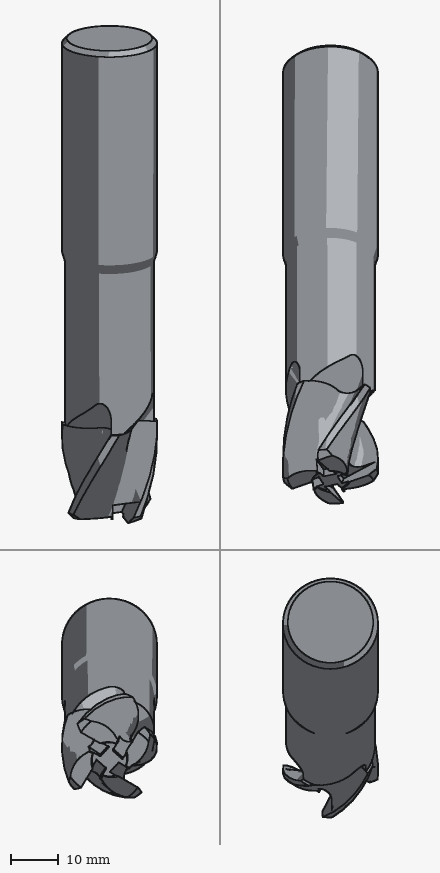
import cadquery as cq
import math

total_length = 104.0
tool_radius = 10.0
neck_radius = 9.4
shank_chamfer = 1.0
shank_bottom = 57.3
neck_top = 55.2
cutting_length = 20.0

tooth_count = 4
tooth_pitch = 360 / tooth_count
helix_angle = 30.0
twist = math.degrees(cutting_length * math.tan(math.radians(helix_angle)) / tool_radius)
land_angle = 10.4
back_angle = 20.4
back_radius = 9.0
corner_chamfer = 1.6

rake_angle = 10.0
rake_length = 2.9
gullet_radius = 2.4
gullet_sweep = 120.0

runout_height = 7.8
runout_slope = 0.71
flute_clearance = 3.1

gash_tilt = 26.5
gash_rake = 12.0
gash_width = 2.5
gash_start_radius = 1.9
gash_core_height = 1.6
gash_rise = 0.33

relief_slope = 0.2
relief_sector = 70.0

dish_radius = 4.1
dish_depth = 0.4
dish_taper = 45.0

cut_reach = 2 * tool_radius
overshoot = 1.0


def polar(radius, degrees):
    """Point in the XY plane at a radius and an angle from +X."""
    angle = math.radians(degrees)
    return cq.Vector(radius * math.cos(angle), radius * math.sin(angle), 0)


def flat(point):
    """Plane coordinates of a point."""
    return (point.x, point.y)


edge_point = polar(tool_radius, 0)
rake_end = edge_point - polar(rake_length, -rake_angle)
gullet_start_angle = 90 - rake_angle
gullet_centre = rake_end - polar(gullet_radius, gullet_start_angle)
gullet_middle = gullet_centre + polar(gullet_radius, gullet_start_angle + gullet_sweep / 2)
gullet_end = gullet_centre + polar(gullet_radius, gullet_start_angle + gullet_sweep)
back_point = polar(back_radius, back_angle - tooth_pitch)
land_end = polar(tool_radius, land_angle - tooth_pitch)


def flute_profile():
    """Cross-section removed between two teeth, open past the rim."""
    rake_out = edge_point + polar(flute_clearance, -rake_angle)
    far_corner = polar(cut_reach, -tooth_pitch / 2)
    back_out = polar(tool_radius + flute_clearance, land_angle - tooth_pitch)
    return (
        cq.Workplane("XY")
        .moveTo(rake_out.x, rake_out.y)
        .lineTo(rake_end.x, rake_end.y)
        .threePointArc(flat(gullet_middle), flat(gullet_end))
        .threePointArc(flat(back_point), flat(land_end))
        .lineTo(back_out.x, back_out.y)
        .lineTo(far_corner.x, far_corner.y)
        .close()
    )


def around_axis(shape):
    """One copy of a shape for every tooth."""
    return [shape.rotate((0, 0, 0), (0, 0, 1), i * tooth_pitch) for i in range(tooth_count)]


def undercut(shape):
    """Swing a shape about the cutting edge on +X so that it trails inwards by the gash rake."""
    return shape.rotate((tool_radius, 0, 0), (tool_radius, 0, 1), -gash_rake)


def make_gash():
    """Wedge-shaped notch in front of the cutting edge on +X, taller towards the rim."""
    lean = math.tan(math.radians(gash_tilt))
    slot = (
        cq.Workplane("YZ")
        .polyline([
            (-gash_width, -overshoot),
            (-overshoot * lean, -overshoot),
            (cut_reach * lean, cut_reach),
            (-gash_width, cut_reach),
        ])
        .close()
        .extrude(cut_reach)
    )
    below_floor = (
        cq.Workplane("XZ")
        .polyline([
            (gash_start_radius, -overshoot),
            (cut_reach, -overshoot),
            (cut_reach, gash_core_height + gash_rise * cut_reach),
            (gash_start_radius, gash_core_height + gash_rise * gash_start_radius),
        ])
        .close()
        .extrude(cut_reach, both=True)
    )
    return undercut(slot).intersect(below_floor)


def make_relief():
    """Wedge below one tooth that lifts the end face behind its cutting edge."""
    wedge = (
        cq.Workplane("YZ")
        .polyline([(0, 0), (cut_reach, 0), (cut_reach, relief_slope * cut_reach)])
        .close()
        .extrude(cut_reach)
    )
    sector = (
        cq.Workplane("XY")
        .polyline([(0, 0), (cut_reach, 0), flat(polar(cut_reach, relief_sector))])
        .close()
        .extrude(cut_reach)
    )
    return undercut(wedge).intersect(sector)


def make_cutter():
    """Fluted cutting head, ending flat where it meets the shank."""
    cutter = (
        cq.Workplane("XY")
        .circle(tool_radius)
        .extrude(cutting_length)
        .faces("<Z")
        .edges()
        .chamfer(corner_chamfer)
    )
    dish = cq.Workplane("XY").circle(dish_radius).extrude(dish_depth, taper=dish_taper)
    cutter = cutter.cut(dish)
    flute = flute_profile().twistExtrude(cutting_length, twist)
    for notch in (flute, make_relief(), make_gash()):
        for copy in around_axis(notch):
            cutter = cutter.cut(copy)
    return cutter


def make_runout():
    """Flute carried straight up from the cutter top, climbing out of the neck."""
    climb = polar(runout_height * runout_slope, -rake_angle) + cq.Vector(0, 0, runout_height)
    runout = cq.Solid.extrudeLinear(flute_profile().wires().val(), [], climb)
    return cq.Workplane(runout).rotate((0, 0, 0), (0, 0, 1), twist).translate((0, 0, cutting_length))


def make_shank():
    """Shank and neck, with the four flute run-outs at its lower end."""
    shank = (
        cq.Workplane("XZ")
        .polyline([
            (0, cutting_length),
            (neck_radius, cutting_length),
            (neck_radius, neck_top),
            (tool_radius, shank_bottom),
            (tool_radius, total_length - shank_chamfer),
            (tool_radius - shank_chamfer, total_length),
            (0, total_length),
        ])
        .close()
        .revolve(360, (0, 0), (0, 1))
    )
    for runout in around_axis(make_runout()):
        shank = shank.cut(runout)
    return shank


cutter = make_cutter()
shank = make_shank()
result = cq.Compound.makeCompound([cutter.solids().val(), shank.solids().val()])